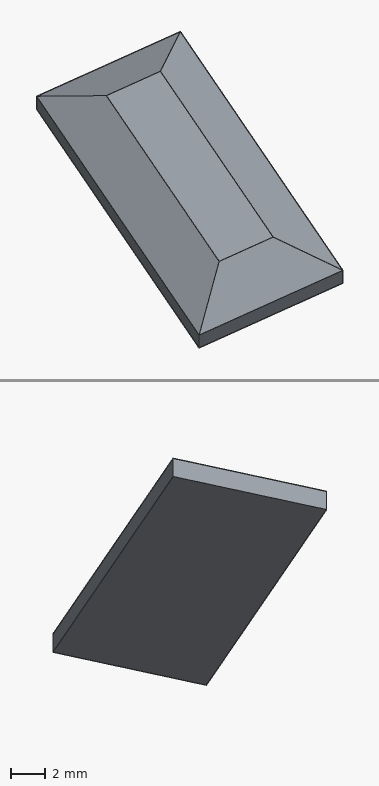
import cadquery as cq

length = 19.6
width = 9.6
height = 3.0

base_height = 1.3
bevel_inset = 3.0
bevel_height = height - base_height


def make_base():
    """Rectangular slab with vertical sides."""
    return cq.Workplane("XY").rect(length, width).extrude(base_height)


def make_bevelled_top():
    """Truncated pyramid with the same inset on all four sides."""
    return (
        cq.Workplane("XY", origin=(0, 0, base_height))
        .rect(length, width)
        .workplane(offset=bevel_height)
        .rect(length - 2 * bevel_inset, width - 2 * bevel_inset)
        .loft(ruled=True)
    )


result = make_base().union(make_bevelled_top())